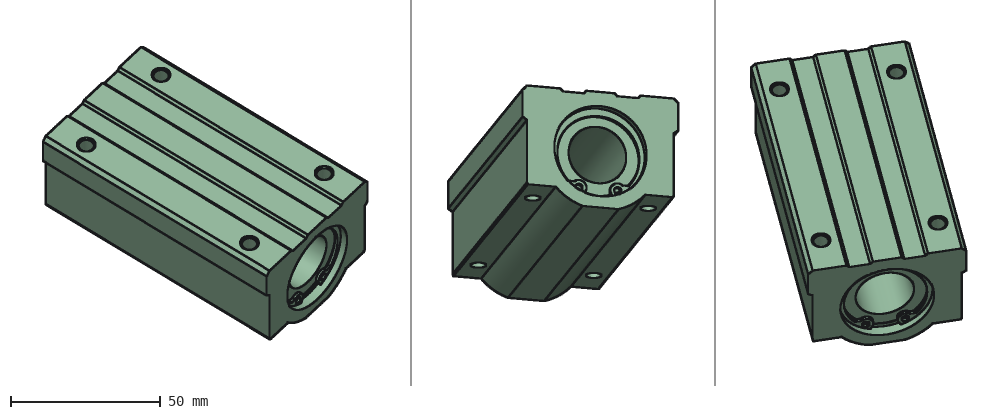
import cadquery as cq
import math

length = 96.0
width = 54.0
height = 41.0
top_z = 21.0
bottom_z = top_z - height
end_x = -length / 2
flange_thickness = 12.3
flange_overhang = 1.5
flange_top_chamfer = 1.5
flange_bottom_rise = 1.1
body_half_width = width / 2 - flange_overhang
body_depth = 35.0
shoulder_z = top_z - body_depth
edge_bevel_rise = 0.7
edge_bevel_inset = 0.3
barrel_radius = 20.9

groove_depth = 1.0
groove_top_width = 9.0
groove_center_y = 9.4

hole_diameter = 5.2
countersink_diameter = 6.2
countersink_angle = 90.0
hole_spacing_x = 70.0
hole_spacing_y = 39.9

housing_diameter = 32.0
bearing_recess_diameter = 29.0
shaft_diameter = 20.0
ring_inset = 2.7
ring_thickness = 1.2
recess_depth = 0.2
ring_inner_diameter = 28.4
ring_inner_drop = 0.9
lug_diameter = 5.2
lug_hole_diameter = 2.5
lug_y = 6.7
lug_z = -12.5
lug_shoulder_y = 10.3
lug_shoulder_z = -10.5

ring_x = end_x + ring_inset
bearing_x = ring_x + ring_thickness


def cylinder_x(diameter, start_x, depth, y=0.0, z=0.0):
    """Cylinder along +X."""
    return cq.Workplane("YZ", origin=(start_x, y, z)).circle(diameter / 2).extrude(depth)


def prism_x(points, start_x, depth):
    """Prism along +X with a polygon of (y, z) points."""
    return cq.Workplane("YZ", origin=(start_x, 0, 0)).polyline(points).close().extrude(depth)


def half_chord(radius, z):
    return math.sqrt(radius**2 - z**2)


def make_block():
    flange_y = width / 2
    flange_bottom_z = top_z - flange_thickness
    barrel_y = half_chord(barrel_radius, shoulder_z)
    flat_y = half_chord(barrel_radius, bottom_z)
    middle_angle = (math.atan2(shoulder_z, barrel_y) + math.atan2(bottom_z, flat_y)) / 2
    arc_middle = (barrel_radius * math.cos(middle_angle), barrel_radius * math.sin(middle_angle))
    return (
        cq.Workplane("YZ", origin=(end_x, 0, 0))
        .moveTo(0, top_z)
        .lineTo(flange_y - flange_top_chamfer, top_z)
        .lineTo(flange_y, top_z - flange_top_chamfer)
        .lineTo(flange_y, flange_bottom_z + flange_bottom_rise)
        .lineTo(body_half_width, flange_bottom_z)
        .lineTo(body_half_width, shoulder_z + edge_bevel_rise)
        .lineTo(body_half_width - edge_bevel_inset, shoulder_z)
        .lineTo(barrel_y, shoulder_z)
        .threePointArc(arc_middle, (flat_y, bottom_z))
        .lineTo(0, bottom_z)
        .mirrorY()
        .extrude(length)
    )


def make_groove(center_y):
    """Groove with 45 degree sides."""
    half_top = groove_top_width / 2
    half_floor = half_top - groove_depth
    floor_z = top_z - groove_depth
    points = [
        (center_y - half_top, top_z),
        (center_y + half_top, top_z),
        (center_y + half_floor, floor_z),
        (center_y - half_floor, floor_z),
    ]
    return prism_x(points, end_x, length)


def make_lug():
    """Plier lug at the +Y end of the ring, running out past the ring's rim."""
    radius = lug_diameter / 2
    distance = math.hypot(lug_y, lug_z)
    outward_y = lug_y / distance
    outward_z = lug_z / distance
    center = (lug_y, lug_z)
    center_foot = (lug_y + lug_diameter * outward_y, lug_z + lug_diameter * outward_z)
    tangent = (lug_y + radius * outward_z, lug_z - radius * outward_y)
    tangent_foot = (tangent[0] + lug_diameter * outward_y, tangent[1] + lug_diameter * outward_z)
    foot_points = [center, tangent, tangent_foot, center_foot]
    web_points = [
        (lug_shoulder_y, lug_shoulder_z),
        (lug_y, lug_shoulder_z),
        center,
        center_foot,
        (housing_diameter / 2, lug_shoulder_z),
    ]
    return (
        cylinder_x(lug_diameter, ring_x, ring_thickness, lug_y, lug_z)
        .union(prism_x(foot_points, ring_x, ring_thickness))
        .union(prism_x(web_points, ring_x, ring_thickness))
    )


def make_ring():
    """Retaining ring at the -X end, open at the bottom between two lugs."""
    housing = cylinder_x(housing_diameter, ring_x, ring_thickness)
    opening = cylinder_x(ring_inner_diameter, ring_x, ring_thickness, 0, -ring_inner_drop)
    gap_points = [
        (-lug_shoulder_y, lug_shoulder_z),
        (lug_shoulder_y, lug_shoulder_z),
        (lug_shoulder_y, -housing_diameter),
        (-lug_shoulder_y, -housing_diameter),
    ]
    ring = housing.cut(opening).cut(prism_x(gap_points, ring_x, ring_thickness))
    lug = make_lug().intersect(housing)
    ring = ring.union(lug).union(lug.mirror("XZ"))
    for side in (-1, 1):
        ring = ring.cut(cylinder_x(lug_hole_diameter, ring_x, ring_thickness, side * lug_y, lug_z))
    return ring


def make_end_pocket():
    """Material removed at the -X end, leaving the ring standing."""
    pocket = cylinder_x(housing_diameter, end_x, bearing_x - end_x)
    recess = cylinder_x(bearing_recess_diameter, bearing_x, recess_depth)
    return pocket.union(recess).cut(make_ring())


result = make_block()
for side in (-1, 1):
    result = result.cut(make_groove(side * groove_center_y))

result = (
    result.faces(">Z")
    .workplane(origin=(0, 0, top_z))
    .rarray(hole_spacing_x, hole_spacing_y, 2, 2)
    .cskHole(hole_diameter, countersink_diameter, countersink_angle)
)

result = result.cut(cylinder_x(shaft_diameter, end_x, length))
end_pocket = make_end_pocket()
result = result.cut(end_pocket).cut(end_pocket.mirror("YZ"))